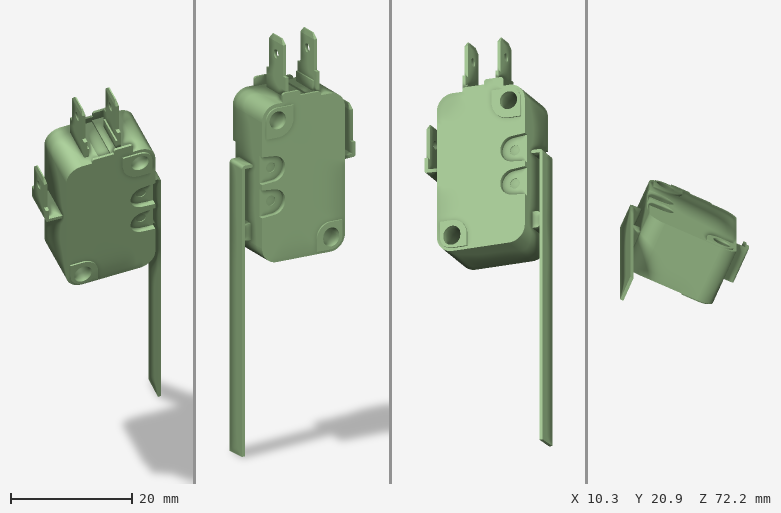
import cadquery as cq
import math


housing_width = 9.75
housing_depth = 15.8
housing_height = 27.8
corner_radius = 2.8
seam_x = -2.1
side_x = housing_width / 2
back_y = housing_depth / 2
front_y = -housing_depth / 2

hole_diameter = 3.1
slot_width = 3.0
slot_length = 3.3
slot_height = 2.7
upper_hole = (back_y - corner_radius, housing_height - corner_radius)
lower_hole = (front_y + corner_radius, slot_height)

pad_height = 0.3
pad_margin = 0.65
pad_corner_radius = corner_radius - pad_margin
upper_pad_reach = 3.0
lower_pad_reach = 2.7

recess_depth = 0.95
recess_radius = 2.25
recess_inset = 2.2
recess_flare = math.radians(5)
pivot_diameter = 1.7
pivot_hole_depth = 0.15
recess_heights = (10.6, 16.45)

rail_width = 0.4
rail_back_y = 4.0
rail_step_y = 0.6
rail_front_y = -3.3
rail_high = 1.6
rail_low = 0.7
rail_round = 0.4

groove_back_y = 0.35
groove_front_y = -1.8
groove_depth = 0.35

terminal_thickness = 0.6
root_width = 6.3
tab_width = 4.55
shoulder_drop = 6.35
tab_hole_diameter = 1.5
tab_hole_drop = 3.1
tip_height = 0.95
tip_side_cut = 0.8
tip_face_cut = 0.18
top_terminal_height = 9.9
rear_terminal_y = 2.2
front_terminal_y = -3.75
side_terminal_top = 24.1
side_terminal_bottom = 15.0
side_terminal_reach = 2.95
side_leg_rise = 0.15
side_bend_radius = 0.35

strip_left = -2.3
strip_height = 1.8
strip_thickness = 0.3

lever_thickness = 0.6
lever_width = 4.1
lever_centre_x = 0.2
lever_reach = 2.1
lever_top = 16.75
lever_bottom = -34.5
lever_end_slant = 0.2

plunger_height = 2.9
plunger_width = 2.9
plunger_z = 4.7
plunger_round = 0.9
plunger_reach = lever_reach - lever_thickness


def box(x_range, y_range, z_range):
    """Block between two limits along each axis."""
    lows, highs = zip(x_range, y_range, z_range)
    sizes = [high - low for low, high in zip(lows, highs)]
    return cq.Workplane("XY").box(*sizes, centered=False).translate(lows)


def both_sides(shape):
    """A shape on the -X side together with its mirror image on the +X side."""
    return shape.union(shape.mirror("YZ"))


def side_plane(x):
    """Sketch plane facing +X, with Y across and Z up."""
    return cq.Workplane("YZ", origin=(x, 0, 0))


def housing_blank():
    block = box((-side_x, side_x), (front_y, back_y), (0, housing_height))
    return block.edges("|X").fillet(corner_radius)


def mounting_pad(hole, outward, reach):
    """Pad on the -X side, with rounds at the housing corner and opposite it.

    outward is +1 for the upper back corner and -1 for the lower front corner.
    """
    outer = outward * pad_corner_radius
    inner = -outward * reach
    diagonal = math.sqrt(0.5)
    return (
        side_plane(-side_x - pad_height)
        .center(*hole)
        .moveTo(inner, outer)
        .lineTo(0, outer)
        .threePointArc((outer * diagonal, outer * diagonal), (outer, 0))
        .lineTo(outer, inner)
        .lineTo(0, inner)
        .threePointArc((inner * diagonal, inner * diagonal), (inner, 0))
        .close()
        .extrude(pad_height)
    )


def mounting_holes():
    length = housing_width + 2 * pad_height
    start = side_plane(-length / 2)
    round_hole = start.center(*upper_hole).circle(hole_diameter / 2).extrude(length)
    slot = start.center(*lower_hole).slot2D(slot_length, slot_width, 90).extrude(length)
    return round_hole.union(slot)


def pivot_recess(height):
    """Round-ended recess on the -X side, flaring towards the back edge, with a pivot hole."""
    centre_y = back_y - recess_inset
    edge_half = recess_radius / math.cos(recess_flare) + recess_inset * math.tan(recess_flare)
    tangent_y = centre_y - recess_radius * math.sin(recess_flare)
    tangent_half = recess_radius * math.cos(recess_flare)
    recess = (
        side_plane(-side_x)
        .moveTo(back_y, height + edge_half)
        .lineTo(tangent_y, height + tangent_half)
        .threePointArc((centre_y - recess_radius, height), (tangent_y, height - tangent_half))
        .lineTo(back_y, height - edge_half)
        .close()
        .extrude(recess_depth)
    )
    pivot_hole = (
        side_plane(-side_x)
        .center(centre_y, height)
        .circle(pivot_diameter / 2)
        .extrude(recess_depth + pivot_hole_depth)
    )
    return recess.union(pivot_hole)


def top_rail():
    """Stepped rail along the -X side, with its three upper corners rounded."""
    top = housing_height + rail_high
    step = housing_height + rail_low
    profile = [
        (rail_back_y, housing_height),
        (rail_back_y, top),
        (rail_step_y, top),
        (rail_step_y, step),
        (rail_front_y, step),
        (rail_front_y, housing_height),
    ]
    rail = side_plane(-side_x).polyline(profile).close().extrude(rail_width)
    rounded_corners = [(rail_back_y, top), (rail_step_y, top), (rail_front_y, step)]
    for y, z in rounded_corners:
        corner = cq.selectors.NearestToPointSelector((-side_x + rail_width / 2, y, z))
        rail = rail.edges("|X").edges(corner).fillet(rail_round)
    return rail


def top_groove():
    half_width = side_x - rail_width
    return box(
        (-half_width, half_width),
        (groove_front_y, groove_back_y),
        (housing_height - groove_depth, housing_height),
    )


def full_housing():
    """Both housing halves in one piece."""
    housing = housing_blank()
    housing = housing.union(both_sides(mounting_pad(upper_hole, 1, upper_pad_reach)))
    housing = housing.union(both_sides(mounting_pad(lower_hole, -1, lower_pad_reach)))
    housing = housing.union(both_sides(top_rail()))
    housing = housing.cut(mounting_holes()).cut(top_groove())
    for height in recess_heights:
        housing = housing.cut(both_sides(pivot_recess(height)))
    return housing


def terminal_blade(y, bottom, top):
    """Upright blade terminal, centred at y, with a shouldered root and a bevelled tip."""
    root_half = root_width / 2
    tab_half = tab_width / 2
    tip_half = tab_half - tip_side_cut
    shoulder = top - shoulder_drop
    tip_base = top - tip_height
    right_edge = [(root_half, bottom), (root_half, shoulder), (tab_half, shoulder), (tab_half, tip_base)]
    outline = right_edge + [(tip_half, top)]
    outline += [(-x, z) for x, z in reversed(outline)]
    half_thickness = terminal_thickness / 2
    tip_half_thickness = half_thickness - tip_face_cut
    thickness_profile = [
        (y - half_thickness, bottom),
        (y - half_thickness, tip_base),
        (y - tip_half_thickness, top),
        (y + tip_half_thickness, top),
        (y + half_thickness, tip_base),
        (y + half_thickness, bottom),
    ]
    front_plane = cq.Workplane("XZ", origin=(0, y + half_thickness, 0))
    plate = front_plane.polyline(outline).close().extrude(terminal_thickness)
    side_shape = side_plane(-root_half).polyline(thickness_profile).close().extrude(root_width)
    hole = (
        front_plane.center(0, top - tab_hole_drop)
        .circle(tab_hole_diameter / 2)
        .extrude(terminal_thickness)
    )
    return plate.intersect(side_shape).cut(hole)


def top_terminal(y, strip_side):
    """Terminal on top of the housing; strip_side is the Y direction its strip faces."""
    blade = terminal_blade(y, housing_height, housing_height + top_terminal_height)
    face_y = y + strip_side * terminal_thickness / 2
    strip_y = sorted((face_y, face_y + strip_side * strip_thickness))
    strip = box((strip_left, root_width / 2), strip_y, (housing_height, housing_height + strip_height))
    return blade.union(strip)


def side_terminal():
    """Terminal on the front of the housing: a slightly rising leg bent up into a blade."""
    outer_y = front_y - side_terminal_reach
    inner_y = outer_y + terminal_thickness
    bend_bottom = side_terminal_bottom + side_leg_rise
    leg_top = side_terminal_bottom + terminal_thickness
    bend_top = bend_bottom + terminal_thickness
    profile = [
        (front_y, side_terminal_bottom),
        (front_y, leg_top),
        (inner_y, bend_top),
        (outer_y, bend_top),
        (outer_y, bend_bottom),
    ]
    leg = side_plane(-root_width / 2).polyline(profile).close().extrude(root_width)
    outer_corner = cq.selectors.NearestToPointSelector((0, outer_y, bend_bottom))
    leg = leg.edges("|X").edges(outer_corner).fillet(side_bend_radius)
    blade = terminal_blade(outer_y + terminal_thickness / 2, bend_top, side_terminal_top)
    return leg.union(blade)


def plunger():
    """Button on the back of the housing that bears on the lever, with its two tip edges rounded."""
    button = box(
        (lever_centre_x - plunger_width / 2, lever_centre_x + plunger_width / 2),
        (back_y, back_y + plunger_reach),
        (plunger_z - plunger_height / 2, plunger_z + plunger_height / 2),
    )
    return button.faces(">Y").edges("|X").fillet(plunger_round)


def seam_half(housing, x_range):
    """The part of the housing between two X limits."""
    margin = housing_height
    return housing.intersect(box(x_range, (-margin, margin), (-margin, 2 * margin)))


def make_cover(housing):
    return seam_half(housing, (-housing_width, seam_x))


def make_base(housing):
    """Housing half that carries the terminals and the plunger."""
    base = seam_half(housing, (seam_x, housing_width))
    base = base.union(top_terminal(rear_terminal_y, -1))
    base = base.union(top_terminal(front_terminal_y, 1))
    return base.union(side_terminal()).union(plunger())


def make_lever():
    """Long strip with a short foot whose round end rests against the back of the housing."""
    outer_y = back_y + lever_reach
    inner_y = outer_y - lever_thickness
    end_radius = lever_thickness / 2
    foot_bottom = lever_top - lever_thickness
    profile = (
        side_plane(lever_centre_x - lever_width / 2)
        .moveTo(outer_y, lever_bottom)
        .lineTo(outer_y, foot_bottom)
        .radiusArc((inner_y, lever_top), -lever_thickness)
        .lineTo(back_y + end_radius, lever_top)
        .threePointArc((back_y, lever_top - end_radius), (back_y + end_radius, foot_bottom))
        .lineTo(inner_y, foot_bottom)
        .lineTo(inner_y, lever_bottom)
        .close()
    )
    strip = profile.extrude(lever_width)
    left_x = lever_centre_x - lever_width / 2
    end_cut = (
        cq.Workplane("XZ", origin=(0, outer_y, 0))
        .moveTo(left_x, lever_bottom)
        .lineTo(left_x, lever_bottom + lever_end_slant)
        .lineTo(left_x + lever_width, lever_bottom)
        .close()
        .extrude(lever_thickness)
    )
    return strip.cut(end_cut)


housing = full_housing()
cover = make_cover(housing)
base = make_base(housing)
lever = make_lever()

result = cq.Compound.makeCompound([body.solids().val() for body in (cover, base, lever)])